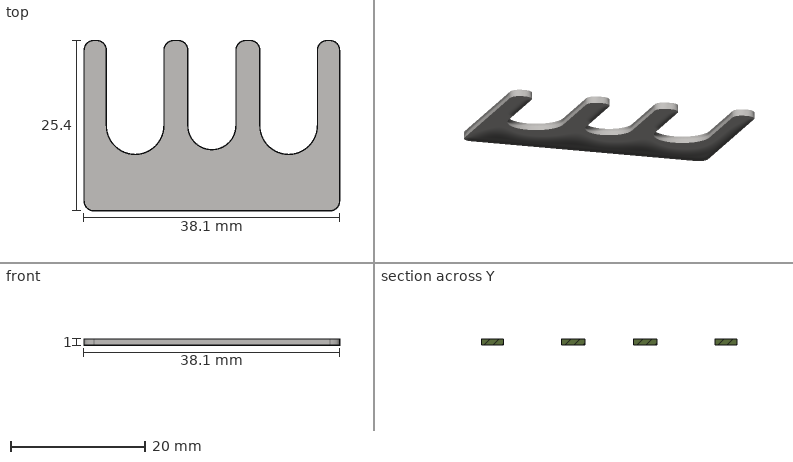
import cadquery as cq

length = 38.1
width = 25.4
thickness = 1.0
corner_radius = 1.5

outer_slot_width = 8.55
middle_slot_width = 7.12
outer_slot_offset = 11.43
slot_end_y = 0.0


def open_slot(center_x, slot_width):
    """Cutter with a round inner end, running out through the +Y edge."""
    radius = slot_width / 2
    edge_y = width / 2
    return (
        cq.Workplane("XY")
        .moveTo(center_x - radius, edge_y)
        .lineTo(center_x - radius, slot_end_y)
        .threePointArc((center_x, slot_end_y - radius), (center_x + radius, slot_end_y))
        .lineTo(center_x + radius, edge_y)
        .close()
        .extrude(thickness)
    )


plate = cq.Workplane("XY").rect(length, width).extrude(thickness)

slots = [
    (-outer_slot_offset, outer_slot_width),
    (0.0, middle_slot_width),
    (outer_slot_offset, outer_slot_width),
]
for center_x, slot_width in slots:
    plate = plate.cut(open_slot(center_x, slot_width))

tip_edges = plate.faces(">Y").edges("|Z")
rear_edges = plate.faces("<Y").edges("|Z")
result = plate.newObject(tip_edges.vals() + rear_edges.vals()).fillet(corner_radius)